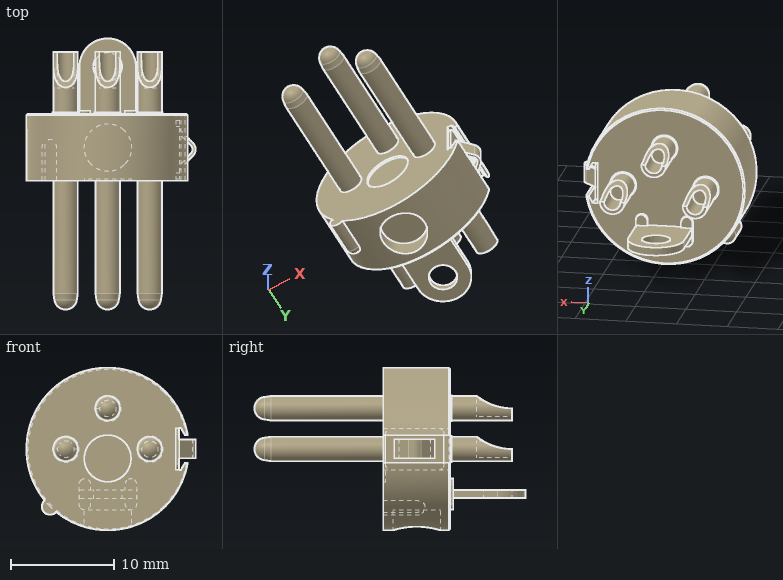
import cadquery as cq
import math

disc_radius = 7.9
disc_length = 6.5
rear_chamfer = 0.15

pin_radius = 1.2
pin_tip_y = -12.5
pin_taper_length = 0.65
pin_nose_radius = 1.1
pin_nose_length = 0.95
pin_rear_y = 12.52
side_pin_x = 4.08
upper_pin_z = 3.95
pin_positions = [(-side_pin_x, 0), (side_pin_x, 0), (0, upper_pin_z)]

cup_bore_radius = 0.8
cup_bore_depth = 3.5
cup_scoop_length = 3.45

collar_radius = 1.28
collar_height = 0.15

tab_half_width = 2.75
tab_thickness = 0.8
tab_end_y = 13.83
tab_root_depth = 0.8
tab_hole_radius = 1.38
tab_z = -4.37
pad_width = 1.13
pad_length = 3.02
pad_height = 0.32
pad_overhang = 0.05

notch_floor_x = 6.62
notch_half_height = 2.03
notch_step_x = 7.1
lip_inner_x = 7.48
lip_gap_half = 1.35

leaf_thickness = 0.32
leaf_length = 5.7
leaf_corner_radius = 0.6
leaf_center_y = 3.05
bump_half_height = 0.92
bump_tip_x = 8.55
bump_outer_radius = 0.88

key_radius = 0.8
key_orbit_radius = 7.91
key_angle = math.radians(225)
key_straight_length = 3.25

radial_hole_radius = 2.3
radial_hole_depth = 2.0
radial_hole_y = disc_length / 2
recess_radius = 2.27
recess_depth = 0.2
recess_z = -0.92


def cylinder_along_y(radius, y_start, y_end, x=0.0, z=0.0):
    return cq.Workplane(cq.Solid.makeCylinder(
        radius, y_end - y_start, cq.Vector(x, y_start, z), cq.Vector(0, 1, 0)))


def make_disc():
    disc = cylinder_along_y(disc_radius, 0, disc_length).faces(">Y").chamfer(rear_chamfer)
    recess = cylinder_along_y(recess_radius, 0, recess_depth, z=recess_z)
    radial_hole = (
        cq.Workplane("XY", origin=(0, radial_hole_y, -disc_radius))
        .circle(radial_hole_radius)
        .extrude(radial_hole_depth)
    )
    return disc.cut(recess).cut(radial_hole).cut(make_notch())


def make_notch():
    """T-shaped slot along the whole disc; sloped inner sides leave two hooked lips."""
    outside_x = disc_radius + 1
    upper_half = [
        (outside_x, lip_gap_half),
        (lip_inner_x, lip_gap_half),
        (notch_step_x, notch_half_height),
        (notch_floor_x, notch_half_height),
    ]
    lower_half = [(x, -z) for x, z in reversed(upper_half)]
    return (
        cq.Workplane("XZ", origin=(0, disc_length, 0))
        .polyline(upper_half + lower_half)
        .close()
        .extrude(disc_length)
    )


def make_key():
    x = key_orbit_radius * math.cos(key_angle)
    z = key_orbit_radius * math.sin(key_angle)
    shaft = cylinder_along_y(key_radius, 0, key_straight_length, x, z)
    round_end = cq.Workplane("XY", origin=(x, key_straight_length, z)).sphere(key_radius)
    return shaft.union(round_end)


def make_pin():
    """Pin on the Y axis: tapered round nose at the front, solder cup at the rear."""
    nose_base_y = pin_tip_y + pin_nose_length
    taper_start_y = nose_base_y + pin_taper_length
    nose_arc_radius = (pin_nose_radius**2 + pin_nose_length**2) / (2 * pin_nose_length)
    half_angle = math.asin(pin_nose_radius / nose_arc_radius) / 2
    nose_mid = (
        nose_arc_radius * math.sin(half_angle),
        pin_tip_y + nose_arc_radius * (1 - math.cos(half_angle)),
    )
    pin = (
        cq.Workplane("XY")
        .moveTo(0, pin_rear_y)
        .lineTo(pin_radius, pin_rear_y)
        .lineTo(pin_radius, taper_start_y)
        .lineTo(pin_nose_radius, nose_base_y)
        .threePointArc(nose_mid, (0, pin_tip_y))
        .close()
        .revolve(360, (0, 0, 0), (0, 1, 0))
    )
    bore = cylinder_along_y(cup_bore_radius, pin_rear_y - cup_bore_depth, pin_rear_y)

    scoop_radius = (cup_scoop_length**2 + pin_radius**2) / (2 * pin_radius)
    scoop = (
        cq.Workplane("YZ", origin=(-pin_radius, 0, 0))
        .center(pin_rear_y, scoop_radius)
        .circle(scoop_radius)
        .extrude(2 * pin_radius)
    )
    collar = cylinder_along_y(collar_radius, disc_length, disc_length + collar_height)
    return pin.cut(bore).cut(scoop).union(collar)


def make_ground_tab():
    round_center_y = tab_end_y - tab_half_width
    root_y = disc_length - tab_root_depth
    tab = (
        cq.Workplane("XY", origin=(0, 0, tab_z - tab_thickness / 2))
        .moveTo(-tab_half_width, root_y)
        .lineTo(tab_half_width, root_y)
        .lineTo(tab_half_width, round_center_y)
        .threePointArc((0, tab_end_y), (-tab_half_width, round_center_y))
        .close()
        .extrude(tab_thickness)
    )
    hole = (
        cq.Workplane("XY", origin=(0, round_center_y, tab_z - tab_thickness / 2))
        .circle(tab_hole_radius)
        .extrude(tab_thickness)
    )
    pad_x = tab_half_width + pad_overhang - pad_width / 2
    pads = (
        cq.Workplane("XZ", origin=(0, disc_length + pad_height, tab_z))
        .pushPoints([(-pad_x, 0), (pad_x, 0)])
        .slot2D(pad_length, pad_width, 90)
        .extrude(2 * pad_height)
    )
    return tab.cut(hole).union(pads)


def make_spring():
    leaf = (
        cq.Workplane("YZ", origin=(notch_floor_x, leaf_center_y, 0))
        .rect(leaf_length, 2 * notch_half_height)
        .extrude(leaf_thickness)
        .edges("|X")
        .fillet(leaf_corner_radius)
    )
    foot_x = notch_floor_x + leaf_thickness / 2
    bump = bump_prism(bump_outer_radius, foot_x).cut(
        bump_prism(bump_outer_radius - leaf_thickness, foot_x))
    return leaf.union(bump)


def bump_prism(radius, foot_x):
    """Round-topped prism whose two sides slope at 45 degrees down to foot_x."""
    center_x = bump_tip_x - bump_outer_radius
    tangent = radius * math.sqrt(0.5)
    tangent_x = center_x + tangent
    foot_half_width = tangent + tangent_x - foot_x
    return (
        cq.Workplane("XY", origin=(0, leaf_center_y, -bump_half_height))
        .moveTo(foot_x, -foot_half_width)
        .lineTo(tangent_x, -tangent)
        .threePointArc((center_x + radius, 0), (tangent_x, tangent))
        .lineTo(foot_x, foot_half_width)
        .close()
        .extrude(2 * bump_half_height)
    )


result = make_disc().union(make_key()).union(make_ground_tab()).union(make_spring())
pin = make_pin()
for pin_x, pin_z in pin_positions:
    result = result.union(pin.translate((pin_x, 0, pin_z)))